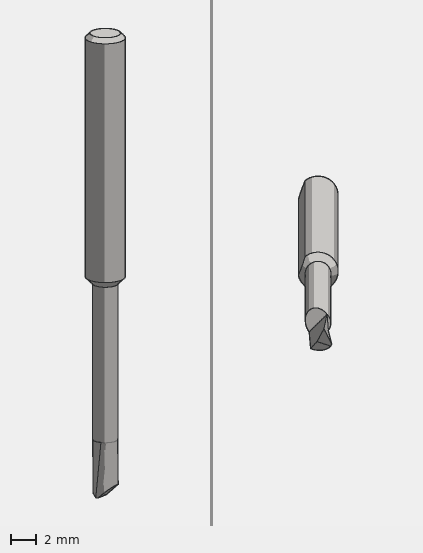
import cadquery as cq
import math

total_length = 38.1
shank_radius = 1.58
flat_offset = 1.353
top_chamfer = 0.4
shoulder_z = 17.5

neck_radius = 1.01
tip_length = 4.7
rake_start_angle = 205.0
relief_start_angle = 287.0
runout_angle = 45.0

end_rake_left = (-1.125, -0.095)
end_rake_right = (1.15, 0.2)
end_relief = (-0.1, -1.1)
end_back = (0.8, -0.72)

corner_start_x = 0.08
corner_height = 1.15

end_rise = 0.095


def neck_point(angle):
    """Point of the neck circle at an angle in degrees from +X."""
    turn = math.radians(angle)
    return (neck_radius * math.cos(turn), neck_radius * math.sin(turn))


def make_shank_and_neck():
    cone_height = shank_radius - neck_radius
    body = (
        cq.Workplane("XZ")
        .moveTo(0, tip_length)
        .lineTo(neck_radius, tip_length)
        .lineTo(neck_radius, shoulder_z)
        .lineTo(shank_radius, shoulder_z + cone_height)
        .lineTo(shank_radius, total_length - top_chamfer)
        .lineTo(shank_radius - top_chamfer, total_length)
        .lineTo(0, total_length)
        .close()
        .revolve(360, (0, 0), (0, 1))
    )
    flat_cutter = cq.Workplane("XY").box(
        2 * shank_radius, shank_radius, total_length, centered=(True, False, False)
    )
    return body.cut(flat_cutter.translate((0, flat_offset, 0)))


def make_runout():
    """Wedge that slopes up from the rake face to the +Y side of the neck."""
    rake_turn = math.radians(rake_start_angle - 180)
    rake_direction = (math.cos(rake_turn), math.sin(rake_turn), 0)
    away_from_rake = (-math.sin(rake_turn), math.cos(rake_turn), 0)
    reach = 2 * neck_radius
    rise = reach * math.tan(math.radians(runout_angle))
    plane = cq.Plane((0, 0, tip_length), xDir=away_from_rake, normal=rake_direction)
    return (
        cq.Workplane(plane)
        .polyline([(0, 0), (reach, 0), (reach, rise)])
        .close()
        .extrude(reach, both=True)
    )


def make_blade():
    """Ruled blade between its end section and a section within the neck circle."""
    rake_right_angle = rake_start_angle + 180
    back_angle = (relief_start_angle + rake_right_angle) / 2
    blade = (
        cq.Workplane("XY")
        .moveTo(*end_rake_left)
        .lineTo(*end_relief)
        .threePointArc(end_back, end_rake_right)
        .close()
        .workplane(offset=tip_length)
        .moveTo(*neck_point(rake_start_angle))
        .lineTo(*neck_point(relief_start_angle))
        .threePointArc(neck_point(back_angle), neck_point(rake_right_angle))
        .close()
        .loft(ruled=True)
    )
    depth = 2 * shank_radius
    corner_end_x = end_rake_right[0]
    corner = (
        cq.Workplane("XZ")
        .polyline([
            (end_rake_left[0], 0),
            (corner_start_x, end_rise),
            (corner_end_x, corner_height),
            (corner_end_x + neck_radius, corner_height),
            (corner_end_x + neck_radius, -corner_height),
            (end_rake_left[0], -corner_height),
        ])
        .close()
        .extrude(depth, both=True)
    )
    return blade.cut(corner)


result = make_shank_and_neck().cut(make_runout()).union(make_blade())